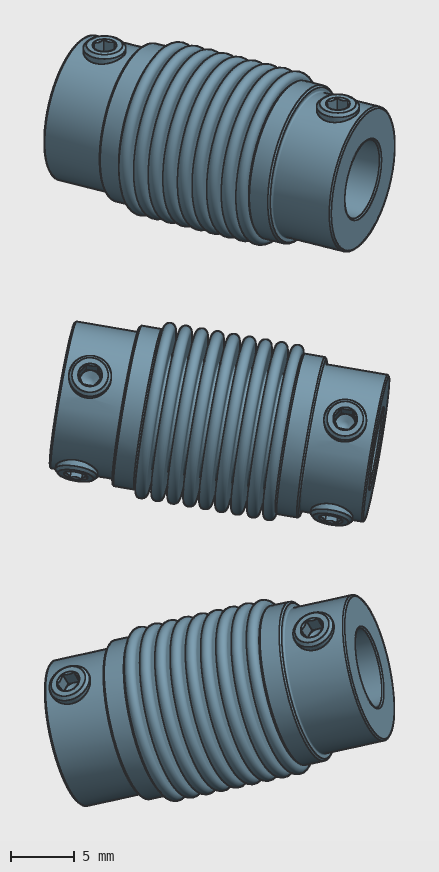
import cadquery as cq
import math

LENGTH = 24.99
BORE_RADIUS = 3.175
EDGE_BREAK = 0.13

HUB_RADIUS = 5.85

CONVOLUTIONS = 9
PITCH = 1.27
CREST_RADIUS = 6.985
ROOT_RADIUS = 4.46
CREST_ROUND = 0.46
ROOT_ROUND = PITCH / 2 - CREST_ROUND
FIRST_CREST_X = -PITCH * (CONVOLUTIONS - 1) / 2
BELLOWS_HALF_LENGTH = CREST_ROUND - FIRST_CREST_X

COLLAR_RADIUS = 6.39
COLLAR_WIDTH = 1.89
COLLAR_CHAMFER = 0.15

SCREW_RADIUS = 1.67
SCREW_TOP = 6.36
SCREW_BASE = 4.0
SCREW_CHAMFER = 0.25
LEFT_SCREW_END_OFFSET = 2.5
RIGHT_SCREW_END_OFFSET = 2.2
SCREW_STATIONS = (LEFT_SCREW_END_OFFSET - LENGTH / 2, LENGTH / 2 - RIGHT_SCREW_END_OFFSET)
SCREW_ANGLES = (0, -90)

SOCKET_FLATS = 1.6
SOCKET_CORNERS = SOCKET_FLATS / math.cos(math.pi / 6)
SOCKET_MOUTH_RADIUS = 0.95
SOCKET_DEPTH = 1.3
SOCKET_CONE_DEPTH = 0.4


def make_end_body():
    """Hub and collar at the -X end, solid down to the axis."""
    end_x = -LENGTH / 2
    collar_inner_x = -BELLOWS_HALF_LENGTH
    collar_outer_x = collar_inner_x - COLLAR_WIDTH
    fillet_mid = EDGE_BREAK * (1 - math.sqrt(0.5))
    return (
        cq.Workplane("XY")
        .moveTo(end_x, 0)
        .lineTo(end_x, HUB_RADIUS - EDGE_BREAK)
        .lineTo(end_x + EDGE_BREAK, HUB_RADIUS)
        .lineTo(collar_outer_x - EDGE_BREAK, HUB_RADIUS)
        .threePointArc(
            (collar_outer_x - fillet_mid, HUB_RADIUS + fillet_mid),
            (collar_outer_x, HUB_RADIUS + EDGE_BREAK),
        )
        .lineTo(collar_outer_x, COLLAR_RADIUS - COLLAR_CHAMFER)
        .lineTo(collar_outer_x + COLLAR_CHAMFER, COLLAR_RADIUS)
        .lineTo(collar_inner_x - COLLAR_CHAMFER, COLLAR_RADIUS)
        .lineTo(collar_inner_x, COLLAR_RADIUS - COLLAR_CHAMFER)
        .lineTo(collar_inner_x, 0)
        .close()
        .revolve(360, (0, 0, 0), (1, 0, 0))
    )


def make_bellows():
    """Convolutions with round crests and round roots, solid down to the axis."""
    crest_center = CREST_RADIUS - CREST_ROUND
    root_center = ROOT_RADIUS + ROOT_ROUND
    profile = cq.Workplane("XY").moveTo(-BELLOWS_HALF_LENGTH, 0)
    for index in range(CONVOLUTIONS):
        crest_x = FIRST_CREST_X + index * PITCH
        left_x = crest_x - CREST_ROUND
        right_x = crest_x + CREST_ROUND
        if index > 0:
            profile = profile.threePointArc((crest_x - PITCH / 2, ROOT_RADIUS), (left_x, root_center))
        profile = profile.lineTo(left_x, crest_center)
        profile = profile.threePointArc((crest_x, CREST_RADIUS), (right_x, crest_center))
        if index < CONVOLUTIONS - 1:
            profile = profile.lineTo(right_x, root_center)
    profile = profile.lineTo(BELLOWS_HALF_LENGTH, 0).close()
    return profile.revolve(360, (0, 0, 0), (1, 0, 0))


def make_bore():
    """Through bore with a chamfer at both mouths."""
    half = LENGTH / 2
    mouth_radius = BORE_RADIUS + EDGE_BREAK
    return (
        cq.Workplane("XY")
        .moveTo(-half, 0)
        .lineTo(-half, mouth_radius)
        .lineTo(-half + EDGE_BREAK, BORE_RADIUS)
        .lineTo(half - EDGE_BREAK, BORE_RADIUS)
        .lineTo(half, mouth_radius)
        .lineTo(half, 0)
        .close()
        .revolve(360, (0, 0, 0), (1, 0, 0))
    )


def make_screw():
    """Chamfered set screw pointing to +Z above the origin."""
    return (
        cq.Workplane("XY")
        .workplane(offset=SCREW_BASE)
        .circle(SCREW_RADIUS)
        .extrude(SCREW_TOP - SCREW_BASE)
        .faces(">Z")
        .chamfer(SCREW_CHAMFER)
    )


def make_cone(base_radius, height):
    """Cone with its base at the screw's outer face and its tip towards the axis."""
    return cq.Workplane(
        cq.Solid.makeCone(base_radius, 0, height, cq.Vector(0, 0, SCREW_TOP), cq.Vector(0, 0, -1))
    )


def make_socket():
    """Hexagon socket with a countersunk mouth and a conical floor."""
    hexagon = (
        cq.Workplane("XY")
        .workplane(offset=SCREW_TOP)
        .polygon(6, SOCKET_CORNERS)
        .extrude(-SOCKET_DEPTH)
    )
    floor = make_cone(SOCKET_FLATS / 2, SOCKET_CONE_DEPTH).translate((0, 0, -SOCKET_DEPTH))
    mouth = make_cone(SOCKET_MOUTH_RADIUS, SOCKET_MOUTH_RADIUS)
    return hexagon.union(floor).union(mouth)


def place_on_hubs(tool):
    """Copies of a +Z tool at every set screw position."""
    copies = []
    for angle in SCREW_ANGLES:
        turned = tool.rotate((0, 0, 0), (1, 0, 0), angle)
        for station in SCREW_STATIONS:
            copies.append(turned.translate((station, 0, 0)))
    return copies


end_body = make_end_body()
result = make_bellows().union(end_body).union(end_body.mirror("YZ"))
result = result.cut(make_bore())
for screw in place_on_hubs(make_screw()):
    result = result.union(screw)
for socket in place_on_hubs(make_socket()):
    result = result.cut(socket)